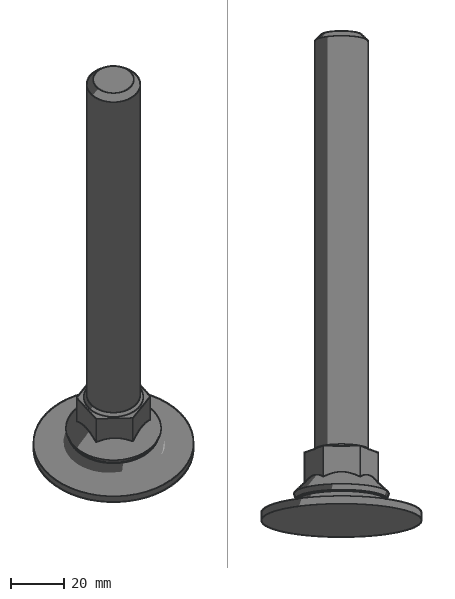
import cadquery as cq
import math

HEIGHT = 186.0
DISC_TOP = 3.0
BASE_TOP = 7.6
HEX_BOTTOM = 8.2
HEX_TOP = 26.0

DISC_RADIUS = 30.04
NECK_ROOT_RADIUS = 18.6
NECK_TOP_RADIUS = 16.7
ROOT_FILLET = 2.2

SEAL_RADIUS = NECK_TOP_RADIUS

HEX_ACROSS_FLATS = 24.0
HEX_ACROSS_CORNERS = HEX_ACROSS_FLATS / math.cos(math.radians(30))
SKIRT_BOTTOM_RADIUS = 17.1
SKIRT_RIM_RADIUS = 17.9
SKIRT_RIM_HEIGHT = 10.2
SKIRT_TIP_RADIUS = 3.7

STUD_RADIUS = 10.0
STUD_CHAMFER = 2.5
COLLAR_SIZE = 1.1


def revolve_profile(points):
    """Turn a closed (radius, height) outline around the Z axis."""
    return cq.Workplane("XZ").polyline(points).close().revolve(360, (0, 0, 0), (0, 1, 0))


def make_foot():
    foot = revolve_profile([
        (0, 0),
        (DISC_RADIUS, 0),
        (DISC_RADIUS, DISC_TOP),
        (NECK_ROOT_RADIUS, DISC_TOP),
        (NECK_TOP_RADIUS, BASE_TOP),
        (0, BASE_TOP),
    ])
    neck_root = cq.selectors.RadiusNthSelector(1)
    return foot.edges("%CIRCLE").edges(neck_root).fillet(ROOT_FILLET)


def make_seal():
    return cq.Workplane("XY").workplane(offset=BASE_TOP).circle(SEAL_RADIUS).extrude(HEX_BOTTOM - BASE_TOP)


def make_hex_cap():
    tip_height = SKIRT_RIM_HEIGHT + SKIRT_RIM_RADIUS - SKIRT_TIP_RADIUS
    skirt = revolve_profile([
        (0, HEX_BOTTOM),
        (SKIRT_BOTTOM_RADIUS, HEX_BOTTOM),
        (SKIRT_RIM_RADIUS, SKIRT_RIM_HEIGHT),
        (SKIRT_TIP_RADIUS, tip_height),
        (0, tip_height),
    ])
    hexagon = (
        cq.Workplane("XY")
        .workplane(offset=HEX_BOTTOM)
        .polygon(6, HEX_ACROSS_CORNERS)
        .extrude(HEX_TOP - HEX_BOTTOM)
    )
    return skirt.union(hexagon)


def make_stud():
    return revolve_profile([
        (0, HEX_TOP),
        (STUD_RADIUS + COLLAR_SIZE, HEX_TOP),
        (STUD_RADIUS, HEX_TOP + COLLAR_SIZE),
        (STUD_RADIUS, HEIGHT - STUD_CHAMFER),
        (STUD_RADIUS - STUD_CHAMFER, HEIGHT),
        (0, HEIGHT),
    ])


foot = make_foot()
seal = make_seal()
hex_cap = make_hex_cap()
stud = make_stud()

result = cq.Compound.makeCompound([foot.val(), seal.val(), hex_cap.val(), stud.val()])